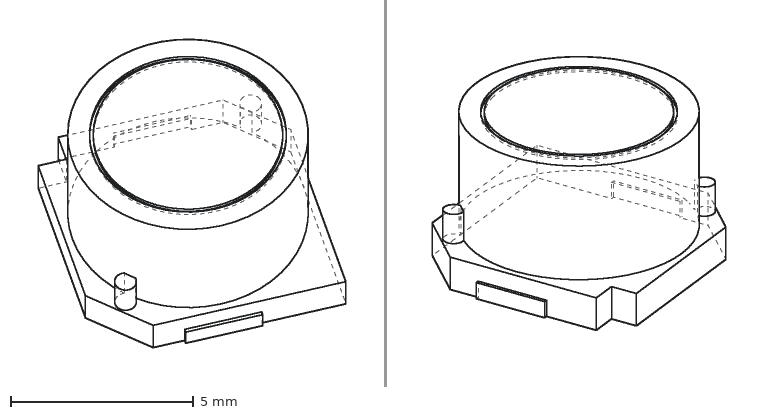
import cadquery as cq

BASE_SIDE = 7.0
BASE_HEIGHT = 1.0
CORNER_CHAMFER = 1.5
CORNER_NOTCH = 0.8

CORE_DIAMETER = 6.6
TOTAL_HEIGHT = 4.5

GROOVE_OUTER_DIAMETER = 5.4
GROOVE_INNER_DIAMETER = 5.2
GROOVE_DEPTH = 0.1

PIN_DIAMETER = 0.6
PIN_HEIGHT = 0.9
PIN_OFFSET = 2.5

TERMINAL_PROJECTION = 0.1
TERMINAL_WIDTH = 2.2
TERMINAL_HEIGHT = 0.5


def make_base():
    half = BASE_SIDE / 2
    chamfer_end = half - CORNER_CHAMFER
    notch_edge = -half + CORNER_NOTCH
    outline = [
        (-half, notch_edge),
        (notch_edge, notch_edge),
        (notch_edge, -half),
        (chamfer_end, -half),
        (half, -chamfer_end),
        (half, half),
        (-chamfer_end, half),
        (-half, chamfer_end),
    ]
    return cq.Workplane("XY").polyline(outline).close().extrude(BASE_HEIGHT)


def make_core():
    core = (
        cq.Workplane("XY")
        .workplane(offset=BASE_HEIGHT)
        .circle(CORE_DIAMETER / 2)
        .extrude(TOTAL_HEIGHT - BASE_HEIGHT)
    )
    groove = (
        cq.Workplane("XY")
        .workplane(offset=TOTAL_HEIGHT - GROOVE_DEPTH)
        .circle(GROOVE_OUTER_DIAMETER / 2)
        .circle(GROOVE_INNER_DIAMETER / 2)
        .extrude(GROOVE_DEPTH)
    )
    return core.cut(groove)


def make_pins():
    return (
        cq.Workplane("XY")
        .workplane(offset=BASE_HEIGHT)
        .pushPoints([(-PIN_OFFSET, PIN_OFFSET), (PIN_OFFSET, -PIN_OFFSET)])
        .circle(PIN_DIAMETER / 2)
        .extrude(PIN_HEIGHT)
    )


def make_terminals():
    distance = (BASE_SIDE + TERMINAL_PROJECTION) / 2
    return (
        cq.Workplane("XY")
        .pushPoints([(-distance, 0), (distance, 0)])
        .rect(TERMINAL_PROJECTION, TERMINAL_WIDTH)
        .extrude(TERMINAL_HEIGHT)
    )


result = make_base().union(make_core()).union(make_pins()).union(make_terminals())